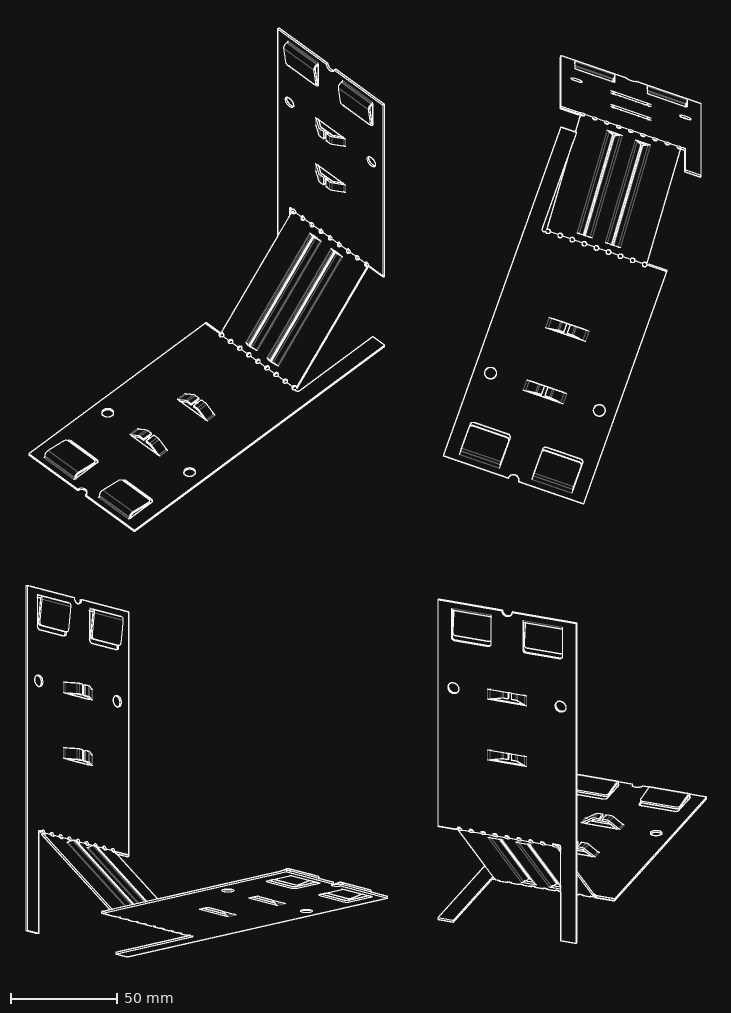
import cadquery as cq
import math


LENGTH = 167.4
WIDTH = 70.0
SHEET = 1.0
CUT_DEPTH = 4 * SHEET
WEB_ANGLE = 45.0
FOLD = 49.0

WEB_WIDTH = 49.9
STRIP_GAP = 2.2
STRIP_EDGE = WEB_WIDTH / 2 + STRIP_GAP
LIP_LENGTH = 0.8
LIP_GAP = 1.0
PERFORATION_DIAMETER = 2.2
PERFORATION_COUNT = 9
PERFORATION_PITCH = 6.0

HOLE_DIAMETER = 5.5
HOLE_X = 27.1
HOLE_Y = 122.5
NOTCH_RADIUS = 2.5

BRIDGE_HALF_LENGTH = 10.4
BRIDGE_WIDTH = 5.2
BRIDGE_HEIGHT = 4.7
BRIDGE_KNEE = 3.8
BRIDGE_GAP = 1.7
BRIDGE_FOOT = 0.8
BRIDGE_BENDS = (1.3, 1.3)
BRIDGE_YS = (90.7, HOLE_Y)

RIB_HALF_LENGTH = 4.4
RIB_WIDTH = 60.6
RIB_HEIGHT = 3.2
RIB_KNEE = 1.0
RIB_GAP = 0.7
RIB_FOOT = 0.8
RIB_BENDS = (0.7, 0.3)
RIB_X = 7.0

CLIP_WIDTH = 19.9
CLIP_X = 18.0
CLIP_ROOT_Y = 164.7
CLIP_BACK_Y = 163.7
CLIP_TIP_Y = 149.3
CLIP_HEIGHT = 4.2
CLIP_TIP_HEIGHT = 2.3
CLIP_ROOT_BEND = 0.5
CLIP_BEND = 1.0
CLIP_CORNER = 1.5
WINDOW_END_Y = 147.5


def bent_sheet(path, bend_radii, width):
    """Sheet strip whose left-hand face follows path in XY, extruded symmetrically along Z.

    Each inner point of the path has a bend with the given radius on its concave side.
    """
    directions = [math.atan2(q[1] - p[1], q[0] - p[0]) for p, q in zip(path, path[1:])]
    arriving = directions[:1] + directions
    leaving = directions + directions[-1:]
    far_side = []
    for (x, y), before, after in zip(path, arriving, leaving):
        mitre = (before + after) / 2
        reach = SHEET / math.cos((after - before) / 2)
        far_side.append((x + reach * math.sin(mitre), y - reach * math.cos(mitre)))
    strip = cq.Workplane("XY").polyline(path + far_side[::-1]).close().extrude(width / 2, both=True)
    for i, radius in enumerate(bend_radii, start=1):
        if leaving[i] < arriving[i]:
            convex, concave = path[i], far_side[i]
        else:
            convex, concave = far_side[i], path[i]
        for (x, y), corner_radius in ((convex, radius + SHEET), (concave, radius)):
            corner = cq.NearestToPointSelector((x, y, 0))
            strip = strip.edges("|Z").edges(corner).fillet(corner_radius)
    return strip


def lance(half_length, width, height, knee, gap, foot, bend_radii):
    """Two facing tongues that rise from the ends of an opening centred on the origin."""
    path = [
        (-half_length, SHEET),
        (-half_length + foot, SHEET),
        (-knee, height),
        (-gap / 2, height),
    ]
    tongue = bent_sheet(path, bend_radii, width).rotate((0, 0, 0), (1, 0, 0), 90)
    return tongue.union(tongue.mirror("YZ"))


def opening(half_length, width):
    """Cutter for the rectangular hole left behind by a pair of tongues."""
    return cq.Workplane("XY").box(2 * half_length, width, CUT_DEPTH)


def clip():
    """Tongue that stands up from the window's outer edge and slopes back toward the leaf."""
    path = [
        (-CLIP_ROOT_Y, SHEET),
        (-CLIP_BACK_Y, SHEET),
        (-CLIP_BACK_Y, CLIP_HEIGHT),
        (-CLIP_TIP_Y, CLIP_TIP_HEIGHT),
    ]
    tongue = bent_sheet(path, [CLIP_ROOT_BEND, CLIP_BEND], CLIP_WIDTH)
    tongue = tongue.faces(">X").edges("not |Z").edges("<Z or >Z").fillet(CLIP_CORNER)
    return tongue.rotate((0, 0, 0), (1, 0, 0), 90).rotate((0, 0, 0), (0, 0, 1), -90)


def clip_window():
    """Cutter for the opening under a clip, rounded at the end below the clip's tip."""
    length = CLIP_ROOT_Y - WINDOW_END_Y
    window = cq.Workplane("XY").box(CLIP_WIDTH, length, CUT_DEPTH)
    window = window.edges("|Z and <Y").fillet(CLIP_CORNER)
    return window.translate((0, CLIP_ROOT_Y - length / 2, 0))


def leaf():
    """One flat leaf with its side strip, holes, notch, bridges and clips."""
    outline = [
        (-WIDTH / 2, 0),
        (-STRIP_EDGE, 0),
        (-STRIP_EDGE, FOLD),
        (WIDTH / 2, FOLD),
        (WIDTH / 2, LENGTH),
        (-WIDTH / 2, LENGTH),
    ]
    body = cq.Workplane("XY").polyline(outline).close().extrude(SHEET)
    gap_end = cq.Workplane("XY").center(-(WEB_WIDTH + STRIP_GAP) / 2, FOLD).circle(STRIP_GAP / 2)
    body = body.cut(gap_end.extrude(SHEET))
    holes = cq.Workplane("XY").pushPoints([(-HOLE_X, HOLE_Y), (HOLE_X, HOLE_Y)])
    body = body.cut(holes.circle(HOLE_DIAMETER / 2).extrude(SHEET))
    body = body.cut(cq.Workplane("XY").center(0, LENGTH).circle(NOTCH_RADIUS).extrude(SHEET))
    bridge = lance(
        BRIDGE_HALF_LENGTH, BRIDGE_WIDTH, BRIDGE_HEIGHT, BRIDGE_KNEE, BRIDGE_GAP, BRIDGE_FOOT, BRIDGE_BENDS
    )
    for y in BRIDGE_YS:
        body = body.cut(opening(BRIDGE_HALF_LENGTH, BRIDGE_WIDTH).translate((0, y, 0)))
        body = body.union(bridge.translate((0, y, 0)))
    for x in (-CLIP_X, CLIP_X):
        body = body.cut(clip_window().translate((x, 0, 0)))
        body = body.union(clip().translate((x, 0, 0)))
    return body


def web():
    """Flat web with its two long ribs, plus the short bent lips beside it, centred on the origin."""
    length = FOLD * math.sqrt(2)
    sheet = cq.Workplane("XY").box(WEB_WIDTH, length, SHEET, centered=(True, True, False))
    rib = lance(RIB_HALF_LENGTH, RIB_WIDTH, RIB_HEIGHT, RIB_KNEE, RIB_GAP, RIB_FOOT, RIB_BENDS)
    for x in (-RIB_X, RIB_X):
        sheet = sheet.cut(opening(RIB_HALF_LENGTH, RIB_WIDTH).translate((x, 0, 0)))
        sheet = sheet.union(rib.translate((x, 0, 0)))
    lip_start = WEB_WIDTH / 2 + LIP_GAP
    lip_width = WIDTH / 2 - lip_start
    lip = cq.Workplane("XY").box(lip_width, LIP_LENGTH, SHEET, centered=(True, False, False))
    lip = lip.translate((lip_start + lip_width / 2, length / 2 - LIP_LENGTH, 0))
    return sheet.union(lip).union(lip.rotate((0, 0, 0), (0, 0, 1), 180))


def perforations():
    """Row of small holes along a leaf's fold."""
    first_x = -PERFORATION_PITCH * (PERFORATION_COUNT - 1) / 2
    centers = [(first_x + i * PERFORATION_PITCH, 0) for i in range(PERFORATION_COUNT)]
    row = cq.Workplane("XY").pushPoints(centers).circle(PERFORATION_DIAMETER / 2)
    row = row.extrude(CUT_DEPTH / 2, both=True)
    return row.rotate((0, 0, 0), (1, 0, 0), -WEB_ANGLE / 2).translate((0, FOLD, 0))


def place_upright(flat):
    return flat.rotate((0, 0, 0), (1, 0, 0), 90).translate((0, LENGTH / 2, 0))


def place_level(flat):
    return flat.rotate((0, 0, 0), (0, 0, 1), 180).translate((0, LENGTH / 2, 0))


diagonal = web().rotate((0, 0, 0), (1, 0, 0), WEB_ANGLE)
diagonal = diagonal.translate((0, (LENGTH - FOLD) / 2, FOLD / 2))

flat_leaf = leaf()
fold_holes = perforations()
bracket = place_upright(flat_leaf).union(place_level(flat_leaf)).union(diagonal)
result = bracket.cut(place_upright(fold_holes)).cut(place_level(fold_holes))